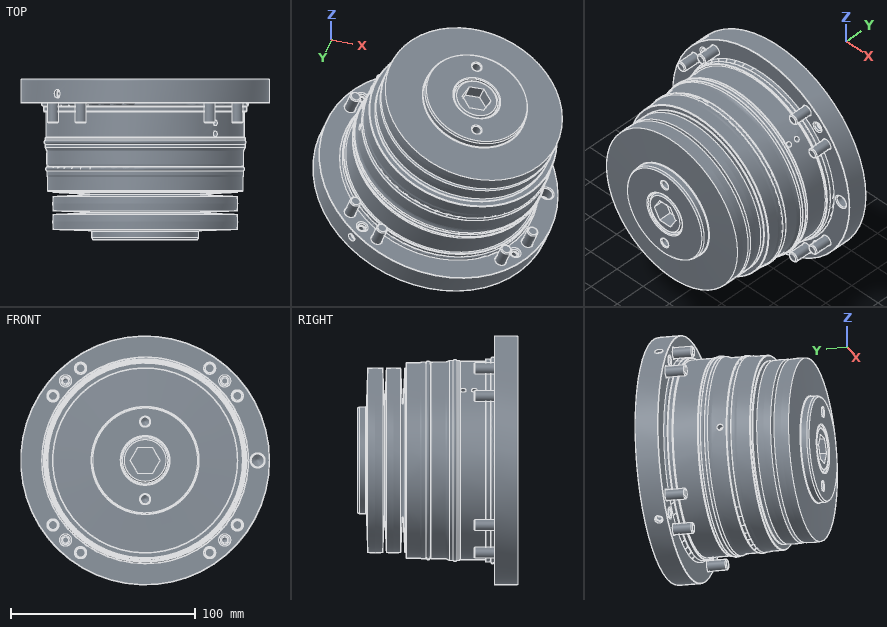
import cadquery as cq
import math

TOTAL_LENGTH = 87.25

FLANGE_RADIUS = 67.5
FLANGE_THICKNESS = 13.0
FLANGE_BACK_CHAMFER_LENGTH = 0.85
FLANGE_BACK_CHAMFER_HEIGHT = 0.25
FLANGE_FRONT_CHAMFER = 0.2

COLLAR_START = 15.1
COLLAR_END = 17.8
COLLAR_RADIUS = 55.1
COLLAR_CHAMFER = 0.3
COLLAR_RELIEF_RADIUS = 54.3

BODY_RADIUS = 53.85
REAR_BAND_START = 31.4
REAR_BAND_END = 37.2
REAR_BAND_RADIUS = 54.3
REAR_BAND_LEAD = 0.7
MIDDLE_RADIUS = 53.4
MIDDLE_BEVEL_START = 38.6
MIDDLE_BEVEL_END = 39.3
MIDDLE_BEVEL_HEIGHT = 0.2
MIDDLE_END = 52.2
FRONT_STEP_START = 53.2
FRONT_STEP_RADIUS = 53.1
FRONT_STEP_END = 60.9
FRONT_STEP_CHAMFER = 0.35
BODY_FACE_DEPTH = 61.5

FLANGE_SEAL_DEPTH = 13.7
FLANGE_SEAL_SECTION_RADIUS = 1.1
FLANGE_SEAL_CREST = 56.1
REAR_SEAL_DEPTH = 34.3
REAR_SEAL_SECTION_RADIUS = 1.15
REAR_SEAL_CREST = 54.8
REAR_GROOVE_START = 33.2
REAR_GROOVE_END = 35.4
REAR_GROOVE_FLOOR_RADIUS = 53.0
FRONT_SEAL_DEPTH = 48.8
FRONT_SEAL_SECTION_RADIUS = 1.2
FRONT_SEAL_CREST = 53.9
FRONT_GROOVE_BEVEL_START = 46.3
FRONT_GROOVE_BEVEL_HEIGHT = 0.15
FRONT_GROOVE_START = 47.4
FRONT_GROOVE_END = 50.0
FRONT_GROOVE_FLOOR_RADIUS = 104.63 / 2

DISC_EDGE_RADIUS = 50.0
DISC_CROWN_RADIUS = 50.2
REAR_DISC_THICKNESS = 7.8
FRONT_DISC_THICKNESS = 8.2
REAR_GAP = 2.2
FRONT_GAP = 1.9
REAR_GAP_SLOPE = math.tan(math.radians(2.9))
FRONT_GAP_SLOPE = math.tan(math.radians(2.4))
FRONT_FACE_SLOPE = math.tan(math.radians(2))
HUB_RADIUS = 30.0

NOSE_RADIUS = 29.0
NOSE_CHAMFER_LENGTH = 1.2
NOSE_CHAMFER_HEIGHT = 0.6
NOSE_FOOT_HEIGHT = 0.3
NOSE_FOOT_LENGTH = 0.4

SCREW_BORE_DIAMETER = 26.0
SCREW_BORE_CHAMFER = 0.5
SCREW_BORE_DEPTH = 6.0
SCREW_HEAD_DIAMETER = 24.6
SCREW_HEAD_CHAMFER = 1.0
SCREW_HEAD_RECESS = 0.3
HEX_ACROSS_FLATS = 14.0
HEX_DEPTH = 8.0

PIN_HOLE_DIAMETER = 5.0
PIN_HOLE_MOUTH_DIAMETER = 6.0
PIN_HOLE_DEPTH = 8.0
PIN_HOLE_OFFSET = 21.0

FLANGE_PITCH_RADIUS = 61.0
DIAGONAL_ANGLES = (45, 135, 225, 315)
BOLT_OFFSET_ANGLE = 10
BOLT_DIAMETER = 6.0
BOLT_TIP_DEPTH = 24.0
BOLT_TIP_CHAMFER = 0.6
BOLT_HOLE_DIAMETER = 6.6
BOLT_HOLE_DEPTH = 6.0
PORT_MOUTH_DIAMETER = 6.6
PORT_MOUTH_DEPTH = 0.4
PORT_SEAT_DIAMETER = 4.8
PORT_SEAT_DEPTH = 2.0
PORT_BORE_DIAMETER = 3.3
PORT_BORE_DEPTH = 8.0
DRILL_POINT_PORT_ANGLES = (135, 315)
DOWEL_HOLE_DIAMETER = 7.0
DOWEL_HOLE_MOUTH_DIAMETER = 8.2
DOWEL_HOLE_DEPTH = 8.0
DRILL_POINT_ANGLE = 118

RIM_HOLE_ANGLES = (135, 225)
RIM_HOLE_DEPTH_POSITION = 8.0
RIM_SEAT_DIAMETER = 4.4
RIM_SEAT_LENGTH = 2.0
RIM_BORE_LENGTH = 6.0
BODY_HOLE_DIAMETER = 3.0
BODY_HOLE_LENGTH = 6.0
BODY_HOLE_ANGLE = 45
BODY_HOLE_POSITIONS = (23.8, 29.8)
SIDE_HOLE_DIAMETER = 3.3
SIDE_HOLE_ANGLE = 180
SIDE_HOLE_POSITION = 44.0


def revolve_profile(points):
    """Revolve (radius, depth) points about the Y axis."""
    outline = [(radius, -depth) for radius, depth in points]
    return cq.Workplane("XY").polyline(outline).close().revolve(360, (0, 0, 0), (0, 1, 0))


def ring(crest_radius, depth, section_radius):
    """Round-section seal ring whose outermost radius is crest_radius."""
    centre_radius = crest_radius - section_radius
    section = cq.Workplane("XY").center(-centre_radius, -depth).circle(section_radius)
    return section.revolve(360, (centre_radius, 0, 0), (centre_radius, 1, 0))


def axial_cylinder(diameter, start, end, x=0.0, z=0.0):
    """Cylinder parallel to Y between two depths."""
    solid = cq.Solid.makeCylinder(diameter / 2, end - start, cq.Vector(x, -start, z), cq.Vector(0, -1, 0))
    return cq.Workplane(solid)


def axial_cone(start_diameter, end_diameter, start, end, x=0.0, z=0.0):
    """Cone parallel to Y, opening from the start depth to the end depth."""
    solid = cq.Solid.makeCone(
        start_diameter / 2, end_diameter / 2, end - start, cq.Vector(x, -start, z), cq.Vector(0, -1, 0)
    )
    return cq.Workplane(solid)


def polar(radius, angle):
    """X and Z of a point at an angle measured from +X towards +Z."""
    return radius * math.cos(math.radians(angle)), radius * math.sin(math.radians(angle))


def radial_hole(diameter, outer_radius, length, angle, depth):
    """Cutter running from outside outer_radius towards the axis."""
    clearance = 2.0
    x, z = polar(outer_radius + clearance, angle)
    inward_x, inward_z = polar(-1.0, angle)
    solid = cq.Solid.makeCylinder(
        diameter / 2, length + clearance, cq.Vector(x, -depth, z), cq.Vector(inward_x, 0, inward_z)
    )
    return cq.Workplane(solid)


def drilled_hole(diameter, mouth_diameter, face, length, x, z):
    """Cutter for a blind hole with a conical bottom and, if the mouth is wider, a 45 degree mouth."""
    mouth = (mouth_diameter - diameter) / 2
    bottom = face - length
    point = diameter / 2 / math.tan(math.radians(DRILL_POINT_ANGLE / 2))
    cutter = axial_cylinder(diameter, bottom, face, x, z)
    if mouth > 0:
        cutter = cutter.union(axial_cone(diameter, mouth_diameter, face - mouth, face, x, z))
    return cutter.union(axial_cone(0, diameter, bottom - point, bottom, x, z))


def flange():
    return revolve_profile([
        (0, 0),
        (FLANGE_RADIUS - FLANGE_BACK_CHAMFER_HEIGHT, 0),
        (FLANGE_RADIUS, FLANGE_BACK_CHAMFER_LENGTH),
        (FLANGE_RADIUS, FLANGE_THICKNESS - FLANGE_FRONT_CHAMFER),
        (FLANGE_RADIUS - FLANGE_FRONT_CHAMFER, FLANGE_THICKNESS),
        (0, FLANGE_THICKNESS),
    ])


def body():
    face_swell = (DISC_EDGE_RADIUS - HUB_RADIUS) * REAR_GAP_SLOPE
    return revolve_profile([
        (0, 0),
        (COLLAR_RELIEF_RADIUS, 0),
        (COLLAR_RELIEF_RADIUS, COLLAR_START),
        (COLLAR_RADIUS, COLLAR_START),
        (COLLAR_RADIUS, COLLAR_END - COLLAR_CHAMFER),
        (COLLAR_RADIUS - COLLAR_CHAMFER, COLLAR_END),
        (BODY_RADIUS, COLLAR_END),
        (BODY_RADIUS, REAR_BAND_START),
        (REAR_BAND_RADIUS, REAR_BAND_START + REAR_BAND_LEAD),
        (REAR_BAND_RADIUS, REAR_GROOVE_START),
        (REAR_GROOVE_FLOOR_RADIUS, REAR_GROOVE_START),
        (REAR_GROOVE_FLOOR_RADIUS, REAR_GROOVE_END),
        (REAR_BAND_RADIUS, REAR_GROOVE_END),
        (REAR_BAND_RADIUS, REAR_BAND_END),
        (MIDDLE_RADIUS + MIDDLE_BEVEL_HEIGHT, MIDDLE_BEVEL_START),
        (MIDDLE_RADIUS, MIDDLE_BEVEL_END),
        (MIDDLE_RADIUS, FRONT_GROOVE_BEVEL_START),
        (MIDDLE_RADIUS - FRONT_GROOVE_BEVEL_HEIGHT, FRONT_GROOVE_START),
        (FRONT_GROOVE_FLOOR_RADIUS, FRONT_GROOVE_START),
        (FRONT_GROOVE_FLOOR_RADIUS, FRONT_GROOVE_END),
        (MIDDLE_RADIUS, FRONT_GROOVE_END),
        (MIDDLE_RADIUS, MIDDLE_END),
        (FRONT_STEP_RADIUS, FRONT_STEP_START),
        (FRONT_STEP_RADIUS, FRONT_STEP_END - FRONT_STEP_CHAMFER),
        (FRONT_STEP_RADIUS - FRONT_STEP_CHAMFER, FRONT_STEP_END),
        (DISC_EDGE_RADIUS, FRONT_STEP_END),
        (DISC_EDGE_RADIUS, BODY_FACE_DEPTH),
        (HUB_RADIUS, BODY_FACE_DEPTH + face_swell),
        (0, BODY_FACE_DEPTH + face_swell),
    ])


def discs_and_nose():
    """Both crowned discs with faces that swell towards the axis, their hubs and the nose."""
    rear_start = BODY_FACE_DEPTH + REAR_GAP
    rear_end = rear_start + REAR_DISC_THICKNESS
    front_start = rear_end + FRONT_GAP
    front_end = front_start + FRONT_DISC_THICKNESS
    rim_height = DISC_EDGE_RADIUS - HUB_RADIUS
    rear_gap_swell = rim_height * REAR_GAP_SLOPE
    front_gap_swell = rim_height * FRONT_GAP_SLOPE
    foot_radius = NOSE_RADIUS + NOSE_FOOT_HEIGHT
    nose_start = front_end + (DISC_EDGE_RADIUS - foot_radius) * FRONT_FACE_SLOPE
    return revolve_profile([
        (0, BODY_FACE_DEPTH),
        (HUB_RADIUS, BODY_FACE_DEPTH),
        (HUB_RADIUS, rear_start - rear_gap_swell),
        (DISC_EDGE_RADIUS, rear_start),
        (DISC_CROWN_RADIUS, (rear_start + rear_end) / 2),
        (DISC_EDGE_RADIUS, rear_end),
        (HUB_RADIUS, rear_end + front_gap_swell),
        (HUB_RADIUS, front_start - front_gap_swell),
        (DISC_EDGE_RADIUS, front_start),
        (DISC_CROWN_RADIUS, (front_start + front_end) / 2),
        (DISC_EDGE_RADIUS, front_end),
        (foot_radius, nose_start),
        (NOSE_RADIUS, nose_start + NOSE_FOOT_LENGTH),
        (NOSE_RADIUS, TOTAL_LENGTH - NOSE_CHAMFER_LENGTH),
        (NOSE_RADIUS - NOSE_CHAMFER_HEIGHT, TOTAL_LENGTH),
        (0, TOTAL_LENGTH),
    ])


def seal_rings():
    rings = ring(FLANGE_SEAL_CREST, FLANGE_SEAL_DEPTH, FLANGE_SEAL_SECTION_RADIUS)
    rings = rings.union(ring(REAR_SEAL_CREST, REAR_SEAL_DEPTH, REAR_SEAL_SECTION_RADIUS))
    return rings.union(ring(FRONT_SEAL_CREST, FRONT_SEAL_DEPTH, FRONT_SEAL_SECTION_RADIUS))


def add_clamping_screw(part):
    floor = TOTAL_LENGTH - SCREW_BORE_DEPTH
    head_top = TOTAL_LENGTH - SCREW_HEAD_RECESS
    mouth_diameter = SCREW_BORE_DIAMETER + 2 * SCREW_BORE_CHAMFER
    part = part.cut(axial_cylinder(SCREW_BORE_DIAMETER, floor, TOTAL_LENGTH))
    part = part.cut(
        axial_cone(SCREW_BORE_DIAMETER, mouth_diameter, TOTAL_LENGTH - SCREW_BORE_CHAMFER, TOTAL_LENGTH)
    )
    head = axial_cylinder(SCREW_HEAD_DIAMETER, floor, head_top).faces("<Y").chamfer(SCREW_HEAD_CHAMFER)
    part = part.union(head)
    socket = (
        cq.Workplane("XZ", origin=(0, -head_top, 0))
        .polygon(6, HEX_ACROSS_FLATS / math.cos(math.radians(30)))
        .extrude(-HEX_DEPTH)
    )
    return part.cut(socket)


def cut_pin_holes(part):
    for z in (-PIN_HOLE_OFFSET, PIN_HOLE_OFFSET):
        part = part.cut(
            drilled_hole(PIN_HOLE_DIAMETER, PIN_HOLE_MOUTH_DIAMETER, TOTAL_LENGTH, PIN_HOLE_DEPTH, 0, z)
        )
    return part


def add_flange_bolts(part):
    floor = FLANGE_THICKNESS - BOLT_HOLE_DEPTH
    for diagonal in DIAGONAL_ANGLES:
        for offset in (-BOLT_OFFSET_ANGLE, BOLT_OFFSET_ANGLE):
            x, z = polar(FLANGE_PITCH_RADIUS, diagonal + offset)
            part = part.cut(axial_cylinder(BOLT_HOLE_DIAMETER, floor, FLANGE_THICKNESS, x, z))
            bolt = axial_cylinder(BOLT_DIAMETER, floor, BOLT_TIP_DEPTH, x, z)
            part = part.union(bolt.faces("<Y").chamfer(BOLT_TIP_CHAMFER))
    return part


def cut_flange_ports(part):
    face = FLANGE_THICKNESS
    for angle in DIAGONAL_ANGLES:
        x, z = polar(FLANGE_PITCH_RADIUS, angle)
        part = part.cut(axial_cone(PORT_SEAT_DIAMETER, PORT_MOUTH_DIAMETER, face - PORT_MOUTH_DEPTH, face, x, z))
        part = part.cut(axial_cylinder(PORT_SEAT_DIAMETER, face - PORT_SEAT_DEPTH, face, x, z))
        if angle in DRILL_POINT_PORT_ANGLES:
            bore = drilled_hole(PORT_BORE_DIAMETER, PORT_BORE_DIAMETER, face, PORT_BORE_DEPTH, x, z)
        else:
            bore = axial_cylinder(PORT_BORE_DIAMETER, face - PORT_BORE_DEPTH, face, x, z)
        part = part.cut(bore)
    return part


def cut_dowel_hole(part):
    return part.cut(
        drilled_hole(
            DOWEL_HOLE_DIAMETER,
            DOWEL_HOLE_MOUTH_DIAMETER,
            FLANGE_THICKNESS,
            DOWEL_HOLE_DEPTH,
            FLANGE_PITCH_RADIUS,
            0,
        )
    )


def cut_radial_holes(part):
    for angle in RIM_HOLE_ANGLES:
        for diameter, length in (
            (RIM_SEAT_DIAMETER, RIM_SEAT_LENGTH),
            (PORT_BORE_DIAMETER, RIM_BORE_LENGTH),
        ):
            part = part.cut(radial_hole(diameter, FLANGE_RADIUS, length, angle, RIM_HOLE_DEPTH_POSITION))
    for depth in BODY_HOLE_POSITIONS:
        part = part.cut(
            radial_hole(BODY_HOLE_DIAMETER, BODY_RADIUS, BODY_HOLE_LENGTH, BODY_HOLE_ANGLE, depth)
        )
    return part.cut(
        radial_hole(SIDE_HOLE_DIAMETER, MIDDLE_RADIUS, BODY_HOLE_LENGTH, SIDE_HOLE_ANGLE, SIDE_HOLE_POSITION)
    )


result = flange().union(body()).union(discs_and_nose()).union(seal_rings())
result = add_clamping_screw(result)
result = cut_pin_holes(result)
result = add_flange_bolts(result)
result = cut_flange_ports(result)
result = cut_dowel_hole(result)
result = cut_radial_holes(result)